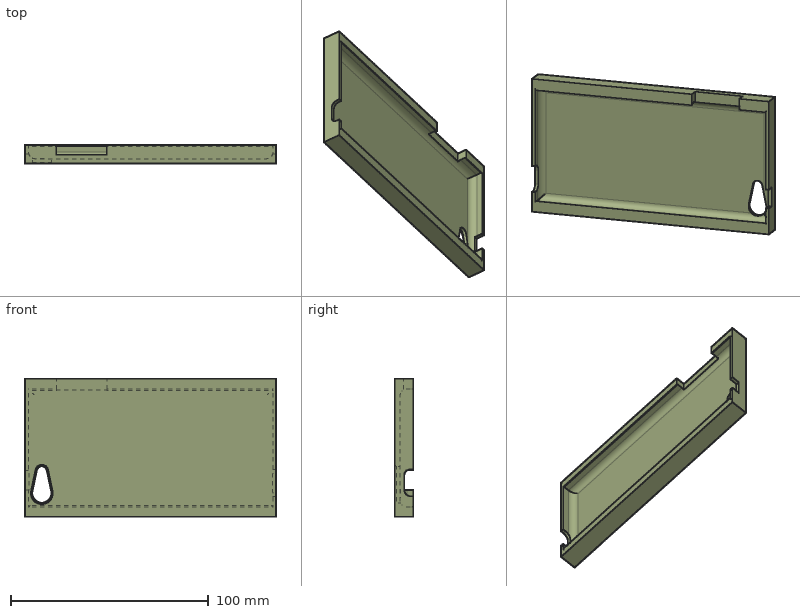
import cadquery as cq
import math

length = 126.87
depth = 9.45
height = 69.85

front_wall = 2.6
end_wall = 1.65
long_wall = 5.1
inner_fillet = 3.4
lip = 0.7

side_notch_floor = 4.9
top_notch_floor = 4.45
notch_reach = end_wall + inner_fillet
left_notch_bottom = 13.65
left_notch_top = 23.5
top_notch_start = 15.8
top_notch_length = 25.4
right_notch_corner = 3.175
right_notch_bottom = left_notch_bottom - right_notch_corner
right_notch_rise = 0.55
right_notch_top = left_notch_top + right_notch_rise

keyhole_x = 8.5
keyhole_low_z = 12.0
keyhole_high_z = 23.1
keyhole_low_radius = 5.55
keyhole_high_radius = 3.25
keyhole_bevel = 0.75
bevel_angle = 45


def box(x_range, y_range, z_range):
    """Box between two limits along each axis."""
    sizes = [end - start for start, end in (x_range, y_range, z_range)]
    corner = (x_range[0], y_range[0], z_range[0])
    return cq.Workplane("XY").box(*sizes, centered=False).translate(corner)


def make_cavity():
    """Inner space: rounded along the floor, narrowed by a sloped lip on both long walls."""
    space = box(
        (end_wall, length - end_wall),
        (front_wall, depth),
        (long_wall, height - long_wall),
    )
    space = space.faces("<Y").edges().fillet(inner_fillet)
    return space.faces(">Y").edges("|X").chamfer(lip)


def make_left_notch():
    """Square notch in the left end wall."""
    return box((0, notch_reach), (side_notch_floor, depth), (left_notch_bottom, left_notch_top))


def make_right_notch():
    """Notch with rounded floor corners in the right end wall."""
    notch = box(
        (length - notch_reach, length),
        (side_notch_floor, depth),
        (right_notch_bottom, right_notch_top),
    )
    return notch.faces("<Y").edges("|X").fillet(right_notch_corner)


def make_top_notch():
    """Square notch in the upper long wall."""
    return box(
        (top_notch_start, top_notch_start + top_notch_length),
        (top_notch_floor, depth),
        (height - long_wall - inner_fillet, height),
    )


def keyhole_outline(inset):
    """Two arcs joined by their common tangents and drawn on the front face."""
    low_radius = keyhole_low_radius - inset
    high_radius = keyhole_high_radius - inset
    lean = math.asin((low_radius - high_radius) / (keyhole_high_z - keyhole_low_z))
    across = math.cos(lean)
    rise = math.sin(lean)
    low_side = low_radius * across
    low_tangent_z = keyhole_low_z + low_radius * rise
    high_side = high_radius * across
    high_tangent_z = keyhole_high_z + high_radius * rise
    return (
        cq.Workplane("XZ", origin=(keyhole_x, 0, 0))
        .moveTo(low_side, low_tangent_z)
        .lineTo(high_side, high_tangent_z)
        .threePointArc((0, keyhole_high_z + high_radius), (-high_side, high_tangent_z))
        .lineTo(-low_side, low_tangent_z)
        .threePointArc((0, keyhole_low_z - low_radius), (low_side, low_tangent_z))
        .close()
    )


def make_keyhole():
    """Straight keyhole with a bevel at the front face."""
    straight = keyhole_outline(keyhole_bevel).extrude(-depth)
    bevel = keyhole_outline(0).extrude(-keyhole_bevel, taper=bevel_angle)
    return straight.union(bevel)


result = box((0, length), (0, depth), (0, height))
result = result.cut(make_cavity())
for opening in (make_left_notch(), make_right_notch(), make_top_notch(), make_keyhole()):
    result = result.cut(opening)